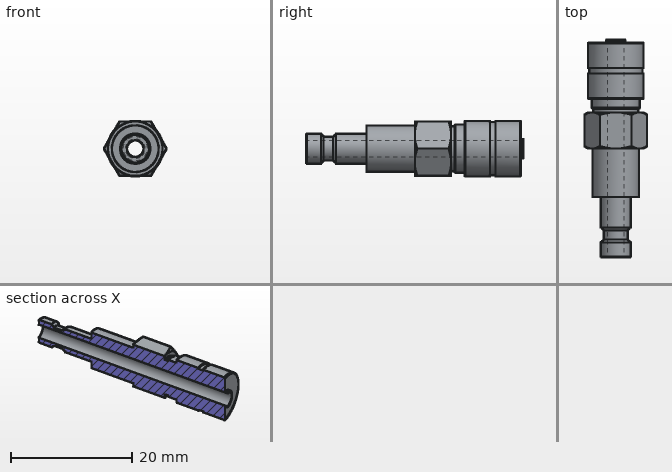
import cadquery as cq
import math

shaft_start = 5.0
body_start = 10.0
hex_start = 18.0
hex_end = 24.0
step_start = 24.55
collar_start = 26.2
groove_start = 30.42
groove_end = 31.32
collar_end = 35.55
total_length = 36.0

bore_dia = 2.7
plug_dia = 5.0
neck_dia = 4.0
neck_cone_dia = 4.8
body_dia = 7.7
hex_corner_dia = 10.4
relief_dia = 7.5
step_dia = 8.0
collar_dia = 9.2
groove_dia = 8.85
nipple_dia = 3.25

plug_head_end = 2.5
neck_start = 2.95
neck_end = 4.5
plug_chamfer = 0.2
step_chamfer = 0.2
collar_chamfer = 0.15
nipple_chamfer = 0.1
hex_chamfer_angle = 30


def cylinder(diameter, start, end):
    """Solid cylinder on the Y axis between two stations."""
    return cq.Workplane("XZ", origin=(0, start, 0)).circle(diameter / 2).extrude(start - end)


def make_plug():
    """Tip and shaft with a tapered locking neck, revolved about Y."""
    plug_radius = plug_dia / 2
    neck_radius = neck_dia / 2
    profile = [
        (0, 0),
        (plug_radius - plug_chamfer, 0),
        (plug_radius, plug_chamfer),
        (plug_radius, plug_head_end),
        (neck_radius, neck_start),
        (neck_radius, neck_end),
        (neck_cone_dia / 2, shaft_start),
        (plug_radius, shaft_start),
        (plug_radius, body_start),
        (0, body_start),
    ]
    return cq.Workplane("XY").polyline(profile).close().revolve(360, (0, 0), (0, 1))


def make_hex():
    """Hexagon with corners on X, its corners turned off conically at both ends."""
    prism = (
        cq.Workplane("XZ", origin=(0, hex_start, 0))
        .polygon(6, hex_corner_dia)
        .extrude(hex_start - hex_end)
    )
    corner_radius = hex_corner_dia / 2
    face_radius = corner_radius * math.cos(math.pi / 6)
    chamfer_length = (corner_radius - face_radius) * math.tan(math.radians(hex_chamfer_angle))
    envelope = [
        (0, hex_start),
        (face_radius, hex_start),
        (corner_radius, hex_start + chamfer_length),
        (corner_radius, hex_end - chamfer_length),
        (face_radius, hex_end),
        (0, hex_end),
    ]
    turned = cq.Workplane("XY").polyline(envelope).close().revolve(360, (0, 0), (0, 1))
    return prism.intersect(turned)


def make_collar():
    """Gripping collar with a shallow groove between its two bands."""
    lower_band = cylinder(collar_dia, collar_start, groove_start).faces("<Y").chamfer(collar_chamfer)
    groove_floor = cylinder(groove_dia, groove_start, groove_end)
    upper_band = cylinder(collar_dia, groove_end, collar_end).faces(">Y").chamfer(collar_chamfer)
    return lower_band.union(groove_floor).union(upper_band)


body = cylinder(body_dia, body_start, hex_start)
relief = cylinder(relief_dia, hex_end, step_start)
step = cylinder(step_dia, step_start, collar_start).faces("<Y").chamfer(step_chamfer)
nipple = cylinder(nipple_dia, collar_end, total_length).faces(">Y").chamfer(nipple_chamfer)

result = make_plug()
for section in (body, make_hex(), relief, step, make_collar(), nipple):
    result = result.union(section)

result = result.cut(cylinder(bore_dia, 0, total_length))